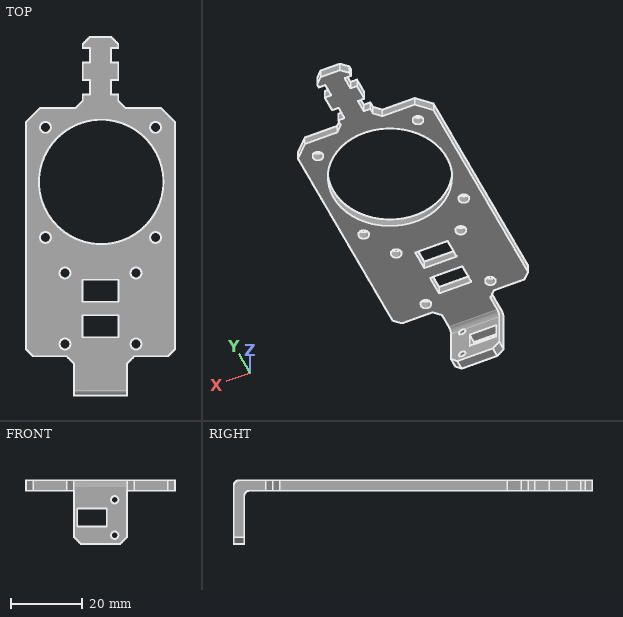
import cadquery as cq

thickness = 3.0
plate_width = 42.0
plate_length = 70.0
rear_corner_chamfer = 4.0
front_corner_chamfer = 2.0

tongue_length = 20.0
tongue_width = 10.0
tongue_chamfer = 2.0
notch_depth = 2.0
notch_length = 4.0
notch_starts = (3.8, 12.8)

tab_width = 15.0
tab_reach = 11.0
tab_drop = 18.0
tab_chamfer = 2.0
bend_outer_radius = 1.5
bend_inner_radius = 1.5

bore_diameter = 35.0
bore_offset_x = 0.2
bore_offset_y = 0.15
motor_from_rear_edge = 21.0
motor_hole_spacing = 31.0
plate_hole_diameter = 3.0

front_hole_spacing = 20.0
front_holes_from_front_edge = 13.5
window_width = 10.0
window_length = 6.1
window_pitch = 10.0

tab_feature_depth = 10.5
tab_window_width = 8.2
tab_window_height = 5.0
tab_window_x = -2.4
tab_hole_diameter = 2.0
tab_hole_spacing = 10.0
tab_hole_x = 4.0

plate_rear = motor_from_rear_edge
plate_front = plate_rear - plate_length
tongue_end = plate_rear + tongue_length
tab_front = plate_front - tab_reach
front_group_y = plate_front + front_holes_from_front_edge
tab_feature_z = thickness - tab_feature_depth


def make_flat_sheet():
    """Plate, tongue and tab as one flat sheet, mirrored about the YZ plane."""
    half_plate = plate_width / 2
    half_tongue = tongue_width / 2
    half_tab = tab_width / 2

    right_side = [
        (half_tab, tab_front),
        (half_tab, plate_front - tab_chamfer),
        (half_tab + tab_chamfer, plate_front),
        (half_plate - front_corner_chamfer, plate_front),
        (half_plate, plate_front + front_corner_chamfer),
        (half_plate, plate_rear - rear_corner_chamfer),
        (half_plate - rear_corner_chamfer, plate_rear),
        (half_tongue + tongue_chamfer, plate_rear),
        (half_tongue, plate_rear + tongue_chamfer),
    ]
    for start in notch_starts:
        notch_front = plate_rear + start
        notch_rear = notch_front + notch_length
        right_side += [
            (half_tongue, notch_front),
            (half_tongue - notch_depth, notch_front),
            (half_tongue - notch_depth, notch_rear),
            (half_tongue, notch_rear),
        ]
    right_side += [
        (half_tongue, tongue_end - tongue_chamfer),
        (half_tongue - tongue_chamfer, tongue_end),
    ]
    left_side = [(-x, y) for x, y in reversed(right_side)]
    return cq.Workplane("XY").polyline(right_side + left_side).close().extrude(thickness)


def add_bent_tab(sheet):
    """Add the downward leg and round both sides of the bend."""
    leg = (
        cq.Workplane("XY")
        .box(tab_width, thickness, tab_drop, centered=(True, False, False))
        .translate((0, tab_front, thickness - tab_drop))
        .edges("|Y and <Z")
        .chamfer(tab_chamfer)
    )
    bent = sheet.union(leg)
    outer_bend = cq.selectors.NearestToPointSelector((0, tab_front, thickness))
    inner_bend = cq.selectors.NearestToPointSelector((0, tab_front + thickness, 0))
    bent = bent.edges(outer_bend).fillet(bend_outer_radius)
    return bent.edges(inner_bend).fillet(bend_inner_radius)


def plate_hole_square(spacing, center_y):
    """Cutter for four plate screw holes at the corners of a square."""
    return (
        cq.Workplane("XY")
        .center(0, center_y)
        .rect(spacing, spacing, forConstruction=True)
        .vertices()
        .circle(plate_hole_diameter / 2)
        .extrude(thickness)
    )


def cut_plate_openings(body):
    """Cut the bore, both hole squares and the two windows through the plate."""
    bore = (
        cq.Workplane("XY")
        .center(bore_offset_x, bore_offset_y)
        .circle(bore_diameter / 2)
        .extrude(thickness)
    )
    windows = (
        cq.Workplane("XY")
        .center(0, front_group_y)
        .rarray(1, window_pitch, 1, 2)
        .rect(window_width, window_length)
        .extrude(thickness)
    )
    body = body.cut(bore).cut(windows)
    body = body.cut(plate_hole_square(motor_hole_spacing, 0))
    return body.cut(plate_hole_square(front_hole_spacing, front_group_y))


def cut_tab_openings(body):
    """Cut the rectangular opening and two screw holes through the leg."""
    leg_face = cq.Workplane("XZ", origin=(0, tab_front, tab_feature_z))
    window = (
        leg_face.center(tab_window_x, 0)
        .rect(tab_window_width, tab_window_height)
        .extrude(-thickness)
    )
    holes = (
        leg_face.center(tab_hole_x, 0)
        .rarray(1, tab_hole_spacing, 1, 2)
        .circle(tab_hole_diameter / 2)
        .extrude(-thickness)
    )
    return body.cut(window).cut(holes)


result = cut_tab_openings(cut_plate_openings(add_bent_tab(make_flat_sheet())))